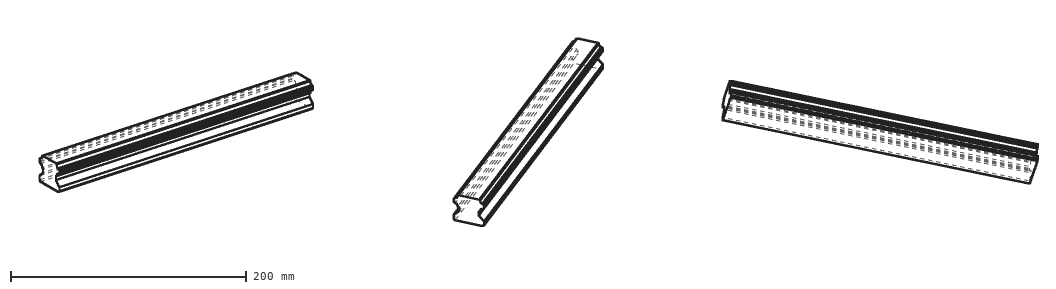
import cadquery as cq
import math

length = 270.0
width = 28.0
height = 26.0

foot_side_top = 5.0
foot_chamfer = 1.4

neck_width = 18.0
neck_bottom = 10.0
neck_top = 13.5

lower_lip_height = 17.3
upper_lip_height = 22.5
lip_width = 1.5
side_band = 2.2
side_chamfer_width = 0.3
side_chamfer_rise = 0.5
groove_height = 2.5
groove_bulge = 0.5
groove_inner_width = 20.8
wall_height = 0.5
top_width = 19.2

side_middle = (lower_lip_height + upper_lip_height) / 2
lip_offset = upper_lip_height - side_middle
groove_offset = lip_offset + groove_height


def head_half(vertical):
    """Points from the side band to the wall's end; vertical is 1 upward, -1 downward."""
    half_width = width / 2
    inner_x = groove_inner_width / 2

    def at(x, offset):
        return x, side_middle + vertical * offset

    side = at(half_width, side_band / 2)
    side_chamfer = at(half_width - side_chamfer_width, side_band / 2 + side_chamfer_rise)
    lip_x = half_width - lip_width
    lip = at(lip_x, lip_offset)

    run = lip_x - inner_x
    chord = math.hypot(run, groove_height)
    deepest = at(
        (lip_x + inner_x) / 2 - groove_bulge * groove_height / chord,
        (lip_offset + groove_offset) / 2 - groove_bulge * run / chord,
    )
    inner = at(inner_x, groove_offset)
    wall_end = at(inner_x, groove_offset + wall_height)
    return side, side_chamfer, lip, deepest, inner, wall_end


def half_rail():
    """The half of the rail on the +X side, extruded along Y."""
    half_width = width / 2
    half_neck = neck_width / 2
    side_bottom, lower_chamfer, lower_lip, lower_deepest, lower_inner, lower_wall = head_half(-1)
    side_top, upper_chamfer, upper_lip, upper_deepest, upper_inner, upper_wall = head_half(1)

    return (
        cq.Workplane("XZ")
        .moveTo(0, 0)
        .lineTo(half_width - foot_chamfer, 0)
        .lineTo(half_width, foot_chamfer)
        .lineTo(half_width, foot_side_top)
        .lineTo(half_neck, neck_bottom)
        .lineTo(half_neck, neck_top)
        .lineTo(*lower_wall)
        .lineTo(*lower_inner)
        .threePointArc(lower_deepest, lower_lip)
        .lineTo(*lower_chamfer)
        .lineTo(*side_bottom)
        .lineTo(*side_top)
        .lineTo(*upper_chamfer)
        .lineTo(*upper_lip)
        .threePointArc(upper_deepest, upper_inner)
        .lineTo(*upper_wall)
        .lineTo(top_width / 2, height)
        .lineTo(0, height)
        .close()
        .extrude(length / 2, both=True)
    )


right_half = half_rail()
result = right_half.union(right_half.mirror("YZ"))